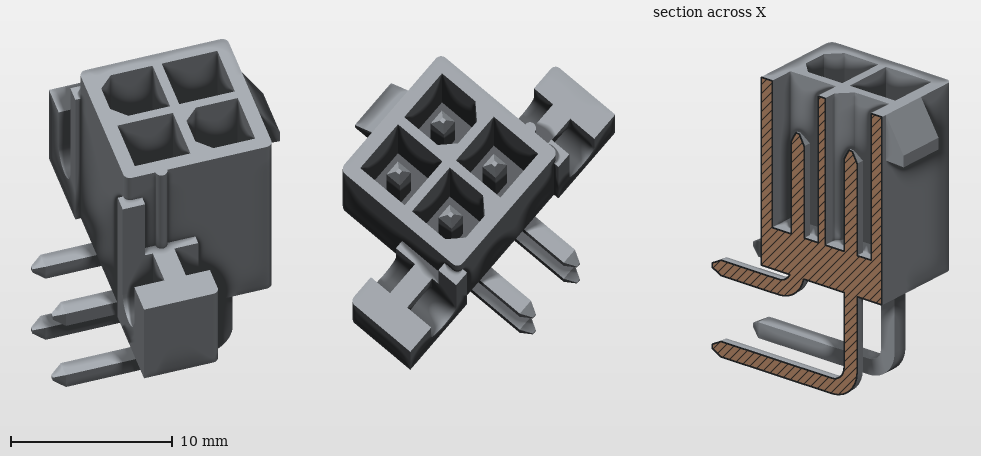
import cadquery as cq
import math


body_side = 9.6
body_height = 12.8
body_corner_radius = 0.44

pitch = 4.2
cell_side = 3.6
cell_depth = 9.96
cell_chamfer = 0.9

ear_span = 19.6
ear_height = 6.2
ear_depth = 4.9
ear_corner_radius = 0.4
ear_overhang = 0.35
rail_top_drop = 2.0
rail_depth = 1.45
rail_half_span = 5.4
hole_diameter = 2.4
front_slot_depth = 1.95
web_thickness = 1.4

latch_width = 3.47
latch_reach = 1.4
latch_slope_height = 2.37
latch_inner_height = 3.09
latch_outer_height = 3.17
bump_radius = 0.38
bump_rear_offset = 7.27

pin_side = 1.08
pin_bend_inner_radius = 0.95
pin_rear_shift = 0.2
pin_taper_length = 0.74
pin_tip_side = 0.28
pin_top_drop = 2.99
pin_reach = 3.55
long_pin_drop = 7.13
short_pin_drop = 1.61

body_half = body_side / 2
ear_front = -body_half - ear_overhang
ear_rear = ear_front + ear_depth
rail_inner = body_half - body_corner_radius
hole_x = rail_half_span + hole_diameter / 2
hole_z = ear_height / 2
pin_end = ear_front - pin_reach
pin_taper_angle = math.degrees(math.atan((pin_side - pin_tip_side) / 2 / pin_taper_length))


def box(x_range, y_range, z_range):
    """Axis-aligned box between the given limits."""
    sizes = [high - low for low, high in (x_range, y_range, z_range)]
    return cq.Workplane("XY").box(*sizes, centered=False).translate((x_range[0], y_range[0], z_range[0]))


def housing_block():
    block = cq.Workplane("XY").rect(body_side, body_side).extrude(body_height)
    return block.edges("|Z").fillet(body_corner_radius)


def cell(x, y, keyed):
    """Square contact cell; a keyed cell has its two -Y corners cut off."""
    cavity = (
        cq.Workplane("XY", origin=(x, y, body_height - cell_depth))
        .rect(cell_side, cell_side)
        .extrude(cell_depth)
    )
    if keyed:
        cavity = cavity.edges("|Z and <Y").chamfer(cell_chamfer)
    return cavity


def ear():
    """Screw ear on the +X side, with its rail, U-shaped pockets and screw hole."""
    solid = box((rail_inner, ear_span / 2), (ear_front, ear_rear), (0, ear_height))
    solid = solid.edges("|Z and >X and >Y").fillet(ear_corner_radius)
    solid = solid.cut(
        cq.Workplane("XZ", origin=(hole_x, ear_rear, hole_z)).circle(hole_diameter / 2).extrude(ear_depth)
    )
    web_front = ear_front + front_slot_depth
    web_rear = web_front + web_thickness
    pocket_x = (rail_half_span, rail_half_span + hole_diameter)
    for pocket_y in ((ear_front, web_front), (web_rear, ear_rear)):
        solid = solid.cut(box(pocket_x, pocket_y, (hole_z, ear_height)))
    rail = box(
        (rail_inner, rail_half_span),
        (ear_front, ear_front + rail_depth),
        (0, body_height - rail_top_drop),
    )
    return solid.union(rail)


def latch():
    """Ramp at the top of the rear face."""
    outer = body_half + latch_reach
    return (
        cq.Workplane("YZ", origin=(-latch_width / 2, 0, 0))
        .moveTo(0, body_height - latch_inner_height)
        .lineTo(body_half, body_height - latch_inner_height)
        .lineTo(outer, body_height - latch_outer_height)
        .lineTo(outer, body_height - latch_slope_height)
        .lineTo(body_half, body_height)
        .lineTo(0, body_height)
        .close()
        .extrude(latch_width)
    )


def bump():
    return (
        cq.Workplane("XY")
        .center(body_half, body_half - bump_rear_offset)
        .circle(bump_radius)
        .extrude(body_height)
    )


def pin(x, y, drop):
    """Square pin standing at (x, y), bent toward -Y, with its lower side at Z = -drop."""
    half = pin_side / 2
    centre_radius = pin_bend_inner_radius + half
    leg_z = half - drop
    bend_start_z = leg_z + centre_radius
    bend_middle = centre_radius * (1 - math.sqrt(0.5))
    straight_top = body_height - pin_top_drop - pin_taper_length
    straight_end = pin_end + pin_taper_length
    path = (
        cq.Workplane("YZ", origin=(x, 0, 0))
        .moveTo(y, straight_top)
        .lineTo(y, bend_start_z)
        .threePointArc((y - bend_middle, leg_z + bend_middle), (y - centre_radius, leg_z))
        .lineTo(straight_end, leg_z)
    )
    shank = cq.Workplane("XY", origin=(x, y, straight_top)).rect(pin_side, pin_side).sweep(path)
    top_point = (
        cq.Workplane("XY", origin=(x, y, straight_top))
        .rect(pin_side, pin_side)
        .extrude(pin_taper_length, taper=pin_taper_angle)
    )
    leg_point = (
        cq.Workplane("XZ", origin=(x, straight_end, leg_z))
        .rect(pin_side, pin_side)
        .extrude(pin_taper_length, taper=pin_taper_angle)
    )
    return shank.union(top_point).union(leg_point)


right_ear = ear()
result = housing_block().union(right_ear).union(right_ear.mirror("YZ")).union(latch()).union(bump())

for x_side in (-1, 1):
    for y_side in (-1, 1):
        result = result.cut(cell(x_side * pitch / 2, y_side * pitch / 2, x_side == y_side))

for x_side in (-1, 1):
    for y_side, drop in ((-1, short_pin_drop), (1, long_pin_drop)):
        result = result.union(pin(x_side * pitch / 2, y_side * pitch / 2 + pin_rear_shift, drop))